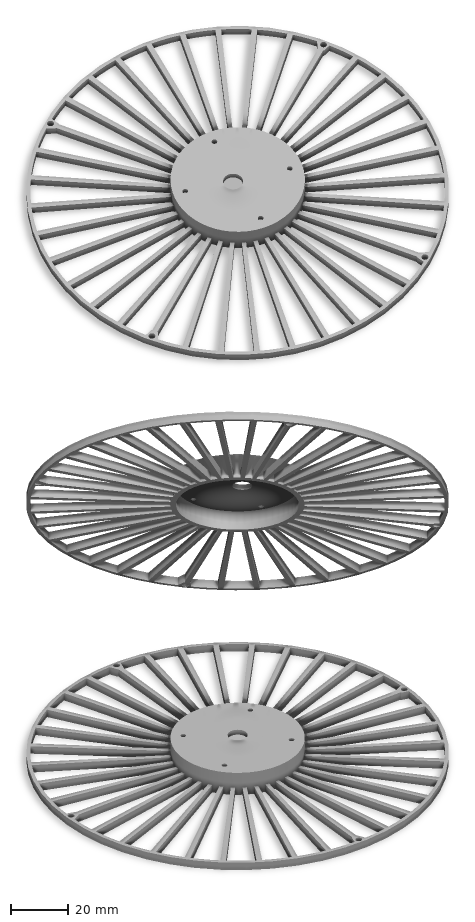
import cadquery as cq

rim_diameter = 147.8
rim_width = 1.4
rim_height = 3.0

hub_diameter = 47.0
hub_height = 9.0
cavity_diameter = 43.0
hub_plate_thickness = 2.0

shaft_hole_diameter = 7.0
shaft_hole_center = (-1.1, -1.5)

mounting_hole_diameter = 2.0
mounting_spacing_x = 29.0
mounting_spacing_y = 24.5
mounting_center_y = -0.15

spoke_count = 36
spoke_width_at_hub = 1.5
spoke_width_at_rim = 2.0

rim_gusset_count = 4
gusset_tip_radius = 69.5
gusset_tip_half_width = 1.2
gusset_ccw_half_width = 3.0
gusset_cw_half_width = 2.3
rim_hole_diameter = 2.4
rim_hole_radius = 72.0

rim_radius = rim_diameter / 2
hub_radius = hub_diameter / 2
wall_thickness = (hub_diameter - cavity_diameter) / 2
spoke_inner_radius = hub_radius - wall_thickness / 2
spoke_outer_radius = rim_radius - rim_width / 2


def cylinder(diameter, height):
    """Solid cylinder on the Z axis, standing on Z = 0."""
    return cq.Workplane("XY").circle(diameter / 2).extrude(height)


def make_rim():
    return cylinder(rim_diameter, rim_height).cut(cylinder(rim_diameter - 2 * rim_width, rim_height))


def make_hub():
    cavity = cylinder(cavity_diameter, hub_height - hub_plate_thickness)
    return cylinder(hub_diameter, hub_height).cut(cavity)


def make_spoke():
    """One tapered spoke along +X, with both ends buried in the hub wall and the rim."""
    outline = [
        (spoke_inner_radius, -spoke_width_at_hub / 2),
        (spoke_outer_radius, -spoke_width_at_rim / 2),
        (spoke_outer_radius, spoke_width_at_rim / 2),
        (spoke_inner_radius, spoke_width_at_hub / 2),
    ]
    return cq.Workplane("XY").polyline(outline).close().extrude(rim_height)


def add_spokes(body):
    spoke = make_spoke()
    for index in range(spoke_count):
        angle = index * 360 / spoke_count
        body = body.union(spoke.rotate((0, 0, 0), (0, 0, 1), angle))
    return body


def make_gusset():
    """One gusset around the +X spoke, widening from the spoke to the middle of the rim."""
    outline = [
        (gusset_tip_radius, -gusset_tip_half_width),
        (spoke_outer_radius, -gusset_cw_half_width),
        (spoke_outer_radius, gusset_ccw_half_width),
        (gusset_tip_radius, gusset_tip_half_width),
    ]
    return cq.Workplane("XY").polyline(outline).close().extrude(rim_height)


def add_rim_gussets(body):
    gusset = make_gusset()
    for index in range(rim_gusset_count):
        angle = index * 360 / rim_gusset_count
        body = body.union(gusset.rotate((0, 0, 0), (0, 0, 1), angle))
    return body


def cut_rim_holes(body):
    holes = (
        cq.Workplane("XY")
        .polarArray(rim_hole_radius, 0, 360, rim_gusset_count)
        .circle(rim_hole_diameter / 2)
        .extrude(rim_height)
    )
    return body.cut(holes)


def cut_hub_holes(body):
    shaft_hole = cylinder(shaft_hole_diameter, hub_height).translate(shaft_hole_center + (0,))
    mounting_holes = (
        cq.Workplane("XY")
        .center(0, mounting_center_y)
        .rarray(mounting_spacing_x, mounting_spacing_y, 2, 2)
        .circle(mounting_hole_diameter / 2)
        .extrude(hub_height)
    )
    return body.cut(shaft_hole).cut(mounting_holes)


wheel = make_rim().union(make_hub())
wheel = add_spokes(wheel)
wheel = add_rim_gussets(wheel)
wheel = cut_rim_holes(wheel)
result = cut_hub_holes(wheel)